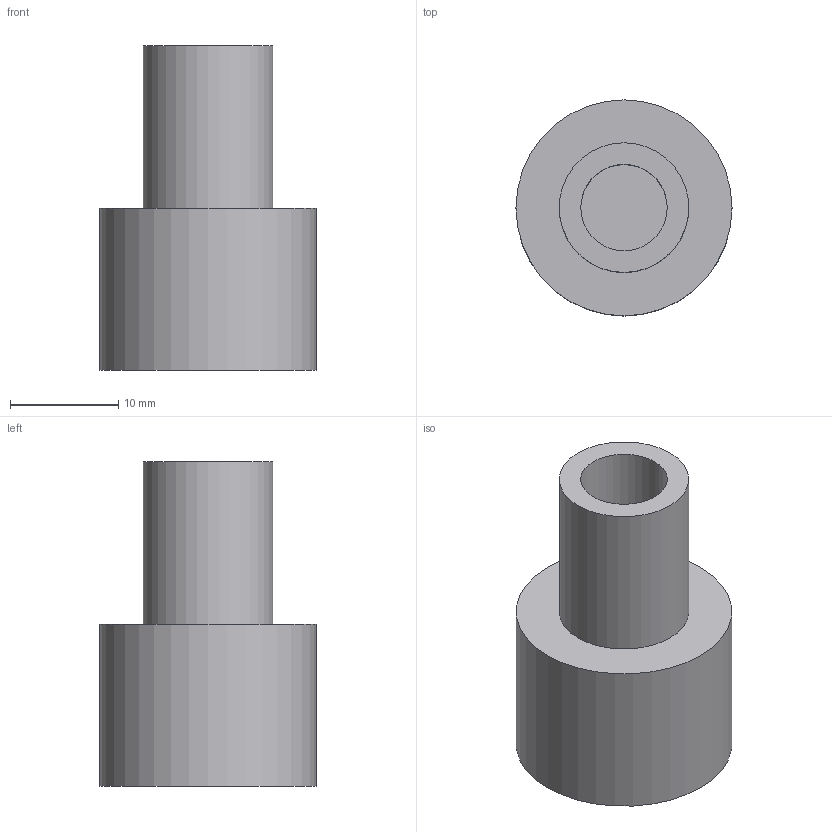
import cadquery as cq

base_diameter = 20.0
base_height = 15.0
neck_diameter = 12.0
neck_height = 15.0
bore_diameter = 8.0
bore_depth = neck_height

total_height = base_height + neck_height


def cylinder(diameter, height, bottom_z):
    """Upright cylinder on the Z axis, standing on the height bottom_z."""
    return cq.Workplane("XY", origin=(0, 0, bottom_z)).circle(diameter / 2).extrude(height)


base = cylinder(base_diameter, base_height, 0)
neck = cylinder(neck_diameter, neck_height, base_height)

bore = cylinder(bore_diameter, bore_depth, total_height - bore_depth)

result = base.union(neck).cut(bore)